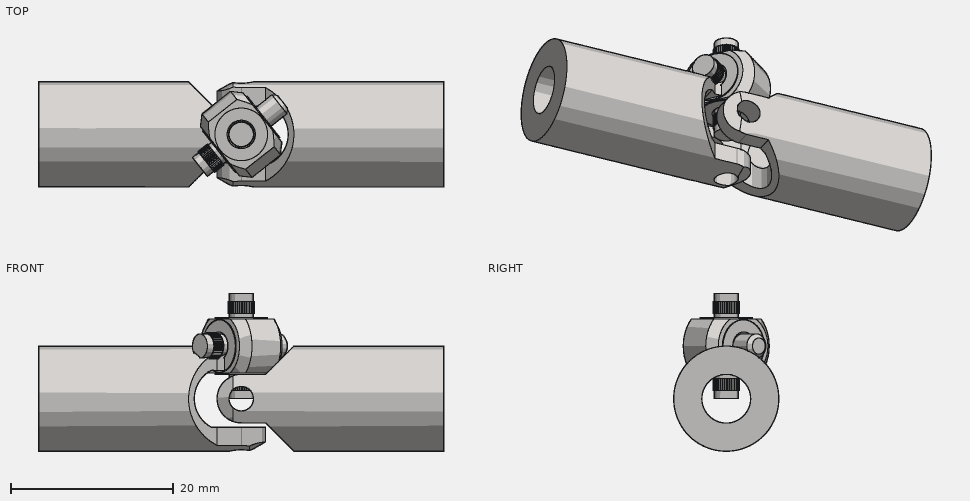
import cadquery as cq
import math

shaft_diameter = 13.0
shaft_radius = shaft_diameter / 2
bore_diameter = 6.0
joint_length = 50.0
arm_width = 6.0
arm_radius = arm_width / 2
arm_gap = 7.0
gap_floor_reach = 5.78
gap_floor_radius = 4.0
tip_chamfer_length = 2.0
tip_chamfer_angle = 30.0

pin_diameter = 3.0
pin_radius = pin_diameter / 2
long_pin_length = 13.0
knurl_crest_radius = 1.65
knurl_length = 1.5
knurl_end_offset = 1.0
tooth_count = 40
long_pin_chamfer = 0.5

block_lift = 6.5
block_turn = 38.25
block_radius = 5.0
block_face_distance = 3.35
pad_diameter = 6.5
pad_height = 0.15
block_chamfer = 1.1
rim_chamfer = 0.25


def x_cylinder(radius, start, length):
    """Cylinder along X that begins at x = start."""
    return cq.Workplane("YZ").workplane(offset=start).circle(radius).extrude(length)


def fork_shaft():
    """Shaft on the -X side whose two arms lie above and below the XY plane."""
    body = x_cylinder(shaft_radius, -joint_length / 2, joint_length / 2 + arm_radius)

    tip_drop = tip_chamfer_length * math.tan(math.radians(tip_chamfer_angle))
    cone_start = arm_radius - tip_chamfer_length
    envelope = (
        cq.Workplane("XY")
        .moveTo(-joint_length / 2, 0)
        .lineTo(-joint_length / 2, shaft_radius)
        .lineTo(cone_start, shaft_radius)
        .lineTo(arm_radius, shaft_radius - tip_drop)
        .lineTo(arm_radius, 0)
        .close()
        .revolve(360, (0, 0, 0), (1, 0, 0))
    )
    body = body.intersect(envelope)

    outline = (
        cq.Workplane("XY")
        .workplane(offset=-shaft_radius)
        .moveTo(-joint_length / 2, -shaft_radius)
        .lineTo(-shaft_radius, -shaft_radius)
        .lineTo(-arm_radius, -arm_radius)
        .lineTo(0, -arm_radius)
        .threePointArc((arm_radius, 0), (0, arm_radius))
        .lineTo(-arm_radius, arm_radius)
        .lineTo(-shaft_radius, shaft_radius)
        .lineTo(-joint_length / 2, shaft_radius)
        .close()
        .extrude(shaft_diameter)
    )
    body = body.intersect(outline)

    floor_centre = gap_floor_radius - gap_floor_reach
    half_gap = arm_gap / 2
    floor_edge = floor_centre - math.sqrt(gap_floor_radius**2 - half_gap**2)
    gap = (
        cq.Workplane("XZ")
        .moveTo(arm_radius, -half_gap)
        .lineTo(floor_edge, -half_gap)
        .threePointArc((-gap_floor_reach, 0), (floor_edge, half_gap))
        .lineTo(arm_radius, half_gap)
        .close()
        .extrude(shaft_radius, both=True)
    )
    bore = x_cylinder(bore_diameter / 2, -joint_length / 2, joint_length / 2)
    pin_hole = cq.Workplane("XY").circle(pin_radius).extrude(shaft_radius, both=True)
    return body.cut(gap).cut(bore).cut(pin_hole)


def knurl_band(start):
    """Ring of V-shaped teeth around the X axis that begins at x = start."""
    points = []
    for step in range(2 * tooth_count):
        radius = knurl_crest_radius if step % 2 == 0 else pin_radius
        angle = math.pi * step / tooth_count
        points.append((radius * math.cos(angle), radius * math.sin(angle)))
    return cq.Workplane("YZ").workplane(offset=start).polyline(points).close().extrude(knurl_length)


def knurled_pin(inner_end):
    """Pin along X from x = inner_end to its outer end, with a knurl near the outer end."""
    outer_end = long_pin_length / 2
    shank = x_cylinder(pin_radius, inner_end, outer_end - inner_end)
    return shank.union(knurl_band(outer_end - knurl_end_offset - knurl_length))


def long_pin():
    """Full-length pin, knurled at one end and chamfered at the other."""
    return knurled_pin(-long_pin_length / 2).faces("<X").chamfer(long_pin_chamfer)


def short_pin():
    """Shorter pin whose flat inner end rests against the side of the long pin."""
    return knurled_pin(pin_radius)


def centre_block():
    """Turned block around X, flattened at +Z and -Z, with pads and crossed pin holes."""
    block = x_cylinder(block_radius, -block_face_distance, 2 * block_face_distance)
    block = block.faces("<X or >X").chamfer(block_chamfer)
    flats = cq.Workplane("XY").box(4 * block_radius, 4 * block_radius, 2 * block_face_distance)
    block = block.intersect(flats)

    pad_reach = block_face_distance + pad_height
    pad_bar = x_cylinder(pad_diameter / 2, -pad_reach, 2 * pad_reach)
    hole = x_cylinder(pin_radius, -pad_reach, 2 * pad_reach)
    rim = cq.Workplane("XY").polyline([
        (pad_reach, 0),
        (pad_reach, pin_radius + rim_chamfer),
        (pad_reach - rim_chamfer, pin_radius),
        (pad_reach - rim_chamfer, 0),
    ]).close().revolve(360, (0, 0, 0), (1, 0, 0))
    hole = hole.union(rim).union(rim.mirror("YZ"))

    def upright(shape):
        return shape.rotate((0, 0, 0), (0, 1, 0), 90)

    block = block.union(pad_bar).union(upright(pad_bar))
    return block.cut(hole).cut(upright(hole))


def place_in_joint(shape):
    """Turn a block-centred body about Z and lift it to its place."""
    return shape.rotate((0, 0, 0), (0, 0, 1), block_turn).translate((0, 0, block_lift))


right_shaft = (
    fork_shaft()
    .rotate((0, 0, 0), (1, 0, 0), 90)
    .rotate((0, 0, 0), (0, 0, 1), 180)
)
block = place_in_joint(centre_block())
cross_pin = place_in_joint(long_pin().rotate((0, 0, 0), (0, 0, 1), 180))
short_pins = [
    place_in_joint(short_pin().rotate((0, 0, 0), (0, 1, 0), turn))
    for turn in (-90, 90)
]

left_shaft = fork_shaft().cut(block).cut(cross_pin)

bodies = [left_shaft, right_shaft, block, cross_pin, *short_pins]
result = cq.Compound.makeCompound([body.solids().val() for body in bodies])